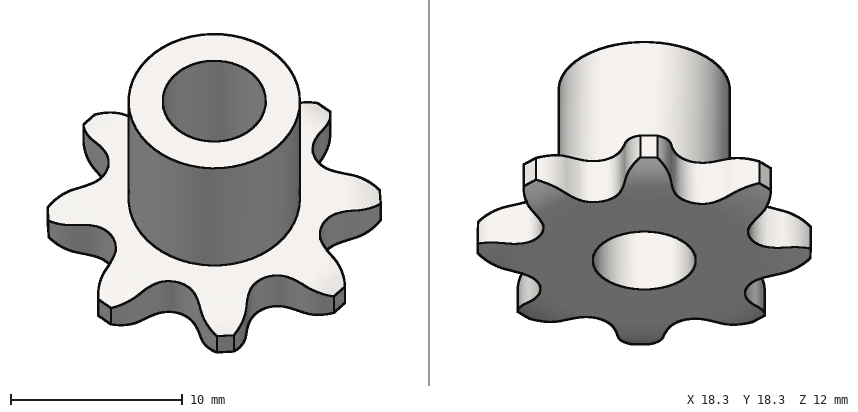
import cadquery as cq
import math

teeth = 8
chain_pitch = 6.35
roller_dia = 3.3
seat_radius = 1.7
overall_width = 18.3
plate_thickness = 2.9
shoulder_radius = 6.79
edge_drop = 0.68
hub_dia = 10.0
bore_dia = 6.0
total_height = 12.0

half_pitch_angle = 180 / teeth
pitch_radius = chain_pitch / 2 / math.sin(math.radians(half_pitch_angle))

seat_half_angle = 35 + 60 / teeth
working_angle = 18 - 56 / teeth
flank_angle = seat_half_angle - working_angle
working_center_offset = 0.8 * roller_dia
working_radius = working_center_offset + seat_radius
tip_center_offset = 1.4 * roller_dia


def polar(center, radius, degrees):
    """Point at a radius and an angle from a center."""
    angle = math.radians(degrees)
    return (center[0] + radius * math.cos(angle), center[1] + radius * math.sin(angle))


def flank_points():
    """Left flank of a tooth gap centered on +Y, from the root to the tooth tip."""
    seat_center = (0, pitch_radius)
    working_center = polar(seat_center, working_center_offset, seat_half_angle)
    tip_center = polar(seat_center, tip_center_offset, 180 + half_pitch_angle)

    root = polar(seat_center, seat_radius, 270)
    seat_end = polar(seat_center, seat_radius, 180 + seat_half_angle)
    working_mid = polar(working_center, working_radius, 180 + flank_angle + working_angle / 2)
    working_end = polar(working_center, working_radius, 180 + flank_angle)

    normal = (math.cos(math.radians(flank_angle)), math.sin(math.radians(flank_angle)))
    tip_radius = ((working_end[0] - tip_center[0]) * normal[0]
                  + (working_end[1] - tip_center[1]) * normal[1])
    tip_start = polar(tip_center, tip_radius, flank_angle)

    end_angle = math.degrees(math.asin((overall_width / 2 - tip_center[1]) / tip_radius))
    tip_mid = polar(tip_center, tip_radius, (flank_angle + end_angle) / 2)
    tip_end = polar(tip_center, tip_radius, end_angle)
    return root, seat_end, working_mid, working_end, tip_start, tip_mid, tip_end


tip_radius_max = math.hypot(*flank_points()[-1])


def turned(points, degrees):
    """Points rotated about the Z axis."""
    cosine = math.cos(math.radians(degrees))
    sine = math.sin(math.radians(degrees))
    return [(x * cosine - y * sine, x * sine + y * cosine) for x, y in points]


def toothed_plate():
    """Straight-sided plate with the chain tooth outline, drawn counterclockwise."""
    left_flank = flank_points()
    right_flank = [(-x, y) for x, y in reversed(left_flank)]

    outline = cq.Workplane("XY").moveTo(*right_flank[0])
    for gap in range(teeth):
        gap_angle = gap * 2 * half_pitch_angle
        tip_end, tip_mid, tip_start, work_end, work_mid, seat_end, root = turned(
            right_flank, gap_angle)
        if gap > 0:
            outline = outline.lineTo(*tip_end)
        outline = outline.threePointArc(tip_mid, tip_start)
        outline = outline.lineTo(*work_end)
        outline = outline.threePointArc(work_mid, seat_end)

        root, seat_end, work_mid, work_end, tip_start, tip_mid, tip_end = turned(
            left_flank, gap_angle)
        outline = outline.threePointArc(root, seat_end)
        outline = outline.threePointArc(work_mid, work_end)
        outline = outline.lineTo(*tip_start)
        outline = outline.threePointArc(tip_mid, tip_end)
    return outline.close().extrude(plate_thickness)


def rounded_disc():
    """Disc whose faces curve down, tangent to the flat, towards the tooth tips."""
    run = tip_radius_max - shoulder_radius
    curve_radius = (run ** 2 + edge_drop ** 2) / (2 * edge_drop)
    half_sweep = math.asin(run / curve_radius) / 2
    mid_radius = shoulder_radius + curve_radius * math.sin(half_sweep)
    mid_drop = curve_radius * (1 - math.cos(half_sweep))
    return (
        cq.Workplane("XZ")
        .lineTo(shoulder_radius, 0)
        .threePointArc((mid_radius, mid_drop), (tip_radius_max, edge_drop))
        .lineTo(tip_radius_max, plate_thickness - edge_drop)
        .threePointArc((mid_radius, plate_thickness - mid_drop), (shoulder_radius, plate_thickness))
        .lineTo(0, plate_thickness)
        .close()
        .revolve(360, (0, 0, 0), (0, 1, 0))
    )


hub = cq.Workplane("XY").circle(hub_dia / 2).extrude(total_height)
bore = cq.Workplane("XY").circle(bore_dia / 2).extrude(total_height)

result = toothed_plate().intersect(rounded_disc()).union(hub).cut(bore)